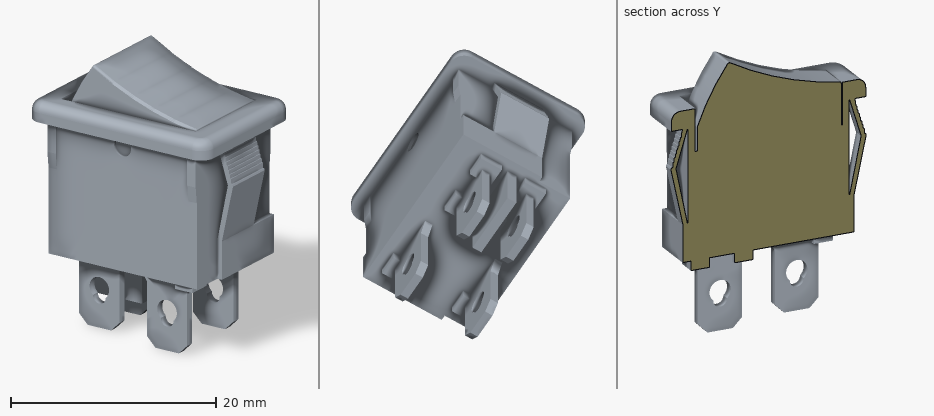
import cadquery as cq


BEZEL_X = 21.1
BEZEL_Y = 15.1
BEZEL_HEIGHT = 2.0
BEZEL_CORNER_RADIUS = 1.5
BEZEL_EDGE_RADIUS = 1.0

BODY_X = 17.5
BODY_Y = 12.6
BODY_HEIGHT = 14.0
CORNER_PAD_WIDTH = 1.0
CORNER_PAD_RISE = 0.2
CORNER_PAD_STRAIGHT = 3.3
CORNER_PAD_LENGTH = 5.0

OPENING_X = 15.9
OPENING_Y = 10.6
OPENING_FLOOR_Z = -2.5
ROCKER_Y = 10.2
ROCKER_EDGE_RADIUS = 0.25
ROCKER_FOOT_X = -7.75
ROCKER_FACE_MIDDLE = (-5.9, 3.9)
ROCKER_PEAK = (-4.33, 6.26)
ROCKER_TOP_MIDDLE = (-0.08, 4.17)
ROCKER_TOE = (7.9, 2.05)
PIVOT_DIAMETER = 2.0
PIVOT_Z = -1.0
PIVOT_RECESS = 0.3

CLIP_WIDTH = 5.5
CLIP_BASE_THICKNESS = 0.55
CLIP_BASE_HEIGHT = 4.0
CLIP_ARM_THICKNESS = 0.6
CLIP_REACH = 10.6
CLIP_KNEE_Z = -4.0
CLIP_TOP_X = 9.35
SERRATION_COUNT = 7
SERRATION_START = (9.45, -0.36)
SERRATION_PITCH = 0.41
SERRATION_STEP = 0.133
SERRATION_FACE_DRAFT = 0.025
BARB_TOP = (10.53, -3.8)

LEFT_BLADE_X = -5.03
RIGHT_BLADE_X = 3.97
LEFT_BLADE_Y = 2.53
RIGHT_BLADE_Y = 4.0
BLADE_WIDTH = 4.75
BLADE_THICKNESS = 0.85
BLADE_LENGTH = 8.0
BLADE_CHAMFER = 1.0
SHOULDER_WIDTH = 0.8
SHOULDER_HEIGHT = 1.3
EYE_RADIUS = 1.15
EYE_DEPTH = 3.87
EYE_TIP_DROP = 0.89
EYE_TIP_RADIUS = 0.75
PIN_X_MIN = -8.13
PIN_X_MAX = -1.66
PIN_THICKNESS = 1.0
PIN_LENGTH = 5.55

FOOT_X = 2.05
FOOT_Y = 2.4
FOOT_HEIGHT = 1.0
LEFT_FOOT_OFFSET = 2.35
RIGHT_FOOT_OFFSET = 2.5

EMBED = 0.5

BODY_BOTTOM_Z = -BODY_HEIGHT
EYE_Z = BODY_BOTTOM_Z - EYE_DEPTH
EYE_TIP_Z = EYE_Z - EYE_TIP_DROP


def block(x_range, y_range, z_range):
    """Axis-aligned box between the given limits."""
    size = [high - low for low, high in (x_range, y_range, z_range)]
    corner = (x_range[0], y_range[0], z_range[0])
    return cq.Workplane("XY").box(*size, centered=False).translate(corner)


def extrude_xz(outline, thickness, y_center=0):
    """Extrude a closed XZ outline by a thickness centred on y_center."""
    return outline.extrude(thickness / 2, both=True).translate((0, y_center, 0))


def make_bezel():
    bezel = cq.Workplane("XY").rect(BEZEL_X, BEZEL_Y).extrude(BEZEL_HEIGHT)
    bezel = bezel.edges("|Z").fillet(BEZEL_CORNER_RADIUS)
    return bezel.faces(">Z").edges().fillet(BEZEL_EDGE_RADIUS)


def make_corner_pad():
    """Pad at the +X, +Y corner whose lower end tapers into the housing wall."""
    wall_y = BODY_Y / 2
    pad_y = wall_y + CORNER_PAD_RISE
    return (
        cq.Workplane("YZ")
        .polyline([
            (wall_y - EMBED, 0),
            (pad_y, 0),
            (pad_y, -CORNER_PAD_STRAIGHT),
            (wall_y, -CORNER_PAD_LENGTH),
            (wall_y - EMBED, -CORNER_PAD_LENGTH),
        ])
        .close()
        .extrude(CORNER_PAD_WIDTH)
        .translate((BODY_X / 2 - CORNER_PAD_WIDTH, 0, 0))
    )


def make_housing():
    half_x = BODY_X / 2
    half_y = BODY_Y / 2
    housing = make_bezel().union(
        block((-half_x, half_x), (-half_y, half_y), (BODY_BOTTOM_Z, 0))
    )
    pad = make_corner_pad()
    pad_pair = pad.union(pad.mirror("YZ"))
    return housing.union(pad_pair).union(pad_pair.mirror("XZ"))


def make_opening():
    return block(
        (-OPENING_X / 2, OPENING_X / 2),
        (-OPENING_Y / 2, OPENING_Y / 2),
        (OPENING_FLOOR_Z, BEZEL_HEIGHT),
    )


def make_rocker():
    """Rocker pressed down on the +X side, with curved front and top faces."""
    base_z = OPENING_FLOOR_Z - EMBED
    outline = (
        cq.Workplane("XZ")
        .moveTo(ROCKER_FOOT_X, base_z)
        .lineTo(ROCKER_FOOT_X, 0)
        .threePointArc(ROCKER_FACE_MIDDLE, ROCKER_PEAK)
        .threePointArc(ROCKER_TOP_MIDDLE, ROCKER_TOE)
        .lineTo(ROCKER_TOE[0], base_z)
        .close()
    )
    rocker = extrude_xz(outline, ROCKER_Y)
    return rocker.edges(cq.selectors.BoxSelector(
        (-BODY_X, -BODY_Y, BEZEL_HEIGHT / 2),
        (BODY_X, BODY_Y, BODY_HEIGHT),
    )).fillet(ROCKER_EDGE_RADIUS)


def make_pivot(length):
    outline = cq.Workplane("XZ").center(0, PIVOT_Z).circle(PIVOT_DIAMETER / 2)
    return extrude_xz(outline, length)


def serration_points():
    """Stepped outer edge: steep faces divided by horizontal ledges, ending in a barb."""
    x, z = SERRATION_START
    points = [SERRATION_START]
    for _ in range(SERRATION_COUNT):
        z -= SERRATION_PITCH
        points.append((x + SERRATION_FACE_DRAFT, z))
        x += SERRATION_STEP
        points.append((x, z))
    barb_z = BARB_TOP[1]
    points.append((x + SERRATION_FACE_DRAFT, barb_z))
    points.append(BARB_TOP)
    return points


def make_clip():
    """Spring clip on the +X side: a base plate with a bent, serrated arm above."""
    wall_x = BODY_X / 2
    base_x = wall_x + CLIP_BASE_THICKNESS
    base_top_z = BODY_BOTTOM_Z + CLIP_BASE_HEIGHT
    base = block(
        (wall_x - EMBED, base_x),
        (-CLIP_WIDTH / 2, BODY_Y / 2),
        (BODY_BOTTOM_Z, base_top_z),
    )
    outline = (
        cq.Workplane("XZ")
        .moveTo(wall_x, 0)
        .lineTo(CLIP_TOP_X, 0)
        .polyline(serration_points(), includeCurrent=True)
        .lineTo(CLIP_REACH, CLIP_KNEE_Z)
        .lineTo(base_x, base_top_z)
        .lineTo(wall_x, base_top_z)
        .lineTo(CLIP_REACH - CLIP_ARM_THICKNESS, CLIP_KNEE_Z)
        .close()
    )
    return base.union(extrude_xz(outline, CLIP_WIDTH))


def make_eye(x_center, y_center):
    """Drop-shaped solder eye: a large round hole overlapping a smaller one below it."""
    large = cq.Workplane("XZ").center(x_center, EYE_Z).circle(EYE_RADIUS)
    small = cq.Workplane("XZ").center(x_center, EYE_TIP_Z).circle(EYE_TIP_RADIUS)
    large_hole = extrude_xz(large, BLADE_THICKNESS, y_center)
    return large_hole.union(extrude_xz(small, BLADE_THICKNESS, y_center))


def make_blade(x_center, y_center, has_shoulder):
    """Terminal blade; the optional shoulder slopes out on its -X edge below the housing."""
    left = x_center - BLADE_WIDTH / 2
    right = x_center + BLADE_WIDTH / 2
    top_z = BODY_BOTTOM_Z + EMBED
    tip_z = BODY_BOTTOM_Z - BLADE_LENGTH
    points = [
        (right, top_z),
        (right, tip_z + BLADE_CHAMFER),
        (right - BLADE_CHAMFER, tip_z),
        (left + BLADE_CHAMFER, tip_z),
        (left, tip_z + BLADE_CHAMFER),
    ]
    if has_shoulder:
        points.append((left, BODY_BOTTOM_Z - SHOULDER_HEIGHT))
        points.append((left - SHOULDER_WIDTH, BODY_BOTTOM_Z))
        points.append((left - SHOULDER_WIDTH, top_z))
    else:
        points.append((left, top_z))
    blade = extrude_xz(cq.Workplane("XZ").polyline(points).close(), BLADE_THICKNESS, y_center)
    return blade.cut(make_eye(x_center, y_center))


def make_foot(x_center, y_center):
    return block(
        (x_center - FOOT_X / 2, x_center + FOOT_X / 2),
        (y_center - FOOT_Y / 2, y_center + FOOT_Y / 2),
        (BODY_BOTTOM_Z - FOOT_HEIGHT, BODY_BOTTOM_Z + EMBED),
    )


def make_middle_pin():
    return block(
        (PIN_X_MIN, PIN_X_MAX),
        (-PIN_THICKNESS / 2, PIN_THICKNESS / 2),
        (BODY_BOTTOM_Z - PIN_LENGTH, BODY_BOTTOM_Z + EMBED),
    )


def make_terminals():
    terminals = make_middle_pin()
    for side in (-1, 1):
        left_y = side * LEFT_BLADE_Y
        right_y = side * RIGHT_BLADE_Y
        terminals = (
            terminals
            .union(make_blade(LEFT_BLADE_X, left_y, has_shoulder=False))
            .union(make_blade(RIGHT_BLADE_X, right_y, has_shoulder=True))
            .union(make_foot(LEFT_BLADE_X - LEFT_FOOT_OFFSET, left_y))
            .union(make_foot(LEFT_BLADE_X + LEFT_FOOT_OFFSET, left_y))
            .union(make_foot(RIGHT_BLADE_X + RIGHT_FOOT_OFFSET, right_y))
        )
    return terminals


clip = make_clip()
pivot_length = BODY_Y - 2 * PIVOT_RECESS

result = (
    make_housing()
    .cut(make_opening())
    .cut(make_pivot(BODY_Y))
    .union(make_rocker())
    .union(make_pivot(pivot_length))
    .union(clip)
    .union(clip.mirror("YZ"))
    .union(make_terminals())
)